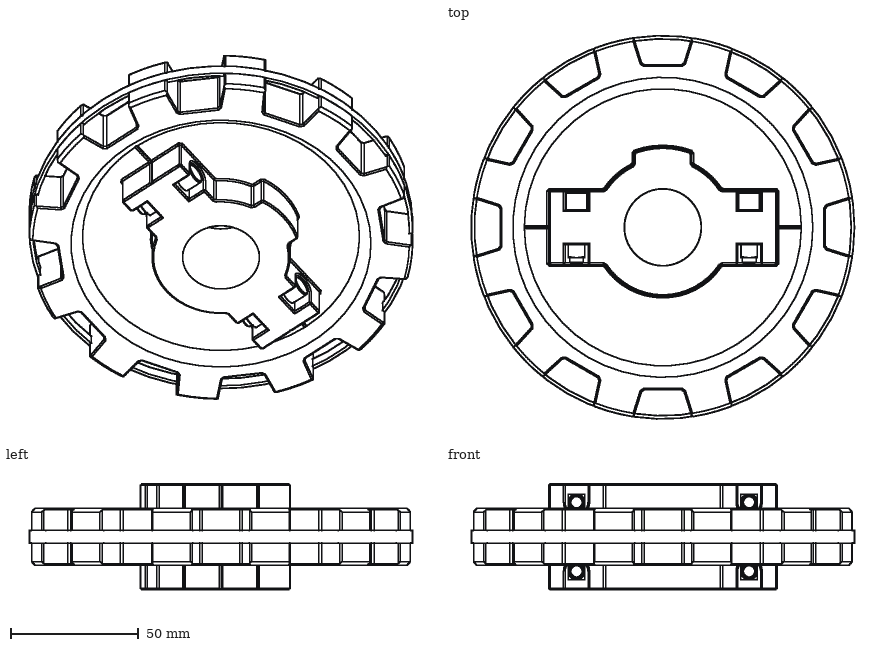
import cadquery as cq
import math

wheel_radius = 75.0
wheel_thickness = 22.3
hub_height = 41.4
bore_radius = 15.0
edge_chamfer = 0.6

tooth_count = 12
gap_floor_radius = 63.5
gap_floor_half_width = 8.1
gap_mouth_half_width = 11.7
gap_corner_chamfer = 0.7
tip_chamfer_radial = 1.3
tip_chamfer_height = 1.5
band_thickness = 1.3
band_height = 5.0

recess_mouth_radius = 58.6
recess_floor_radius = 54.1
web_thickness = 12.7

hub_radius = 27.0
ear_length = 44.7
ear_half_width = 14.5
block_half_width = 11.4
block_radius = 31.5

screw_x = 33.7
screw_z = 13.5
pocket_half_width = 4.5
pocket_floor_y = 6.9
head_radius = 4.0
head_end_y = 13.8
head_chamfer = 0.5
nut_width = 6.5
nut_length = 5.0
nut_chamfer = 0.5
shank_radius = 2.7
shank_end_y = 14.1
shank_chamfer = 0.5

half_wheel = wheel_thickness / 2
half_web = web_thickness / 2
half_hub = hub_height / 2
tolerance = 0.01
overcut = 1.5
screw_places = [(x, z) for x in (-screw_x, screw_x) for z in (-screw_z, screw_z)]


def disc(radius, height):
    """Cylinder on the Z axis, centred on Z = 0."""
    return cq.Workplane("XY").cylinder(height, radius)


def gap_prism():
    """Space between two teeth, on the +Y side, with its floor corners chamfered."""
    mouth_slope = (gap_mouth_half_width - gap_floor_half_width) / (wheel_radius - gap_floor_radius)
    outer_y = wheel_radius + overcut
    outer_half_width = gap_mouth_half_width + mouth_slope * overcut
    prism = (
        cq.Workplane("XY")
        .polyline([
            (-gap_floor_half_width, gap_floor_radius),
            (gap_floor_half_width, gap_floor_radius),
            (outer_half_width, outer_y),
            (-outer_half_width, outer_y),
        ])
        .close()
        .extrude(half_wheel + overcut, both=True)
    )
    return prism.edges("|Z and <Y").chamfer(gap_corner_chamfer)


def tip_envelope():
    """Disc with the chamfer of the tooth tips on both faces."""
    top_radius = wheel_radius - tip_chamfer_radial
    chamfer_z = half_wheel - tip_chamfer_height
    return (
        cq.Workplane("XZ")
        .polyline([
            (0, -half_wheel),
            (top_radius, -half_wheel),
            (wheel_radius, -chamfer_z),
            (wheel_radius, chamfer_z),
            (top_radius, half_wheel),
            (0, half_wheel),
        ])
        .close()
        .revolve(360, (0, 0, 0), (0, 1, 0))
    )


def toothed_wheel():
    """Toothed disc with all tooth edges chamfered."""
    wheel = disc(wheel_radius, wheel_thickness)
    gap = gap_prism()
    for index in range(tooth_count):
        wheel = wheel.cut(gap.rotate((0, 0, 0), (0, 0, 1), index * 360 / tooth_count))

    tip_reach = wheel_radius - tolerance
    tip_edges = [
        edge for edge in wheel.edges("|Z").vals()
        if math.hypot(edge.Center().x, edge.Center().y) > tip_reach
    ]
    wheel = wheel.newObject(tip_edges).chamfer(edge_chamfer)
    gap_edges = [
        edge for edge in wheel.faces("|Z").edges().vals()
        if edge.geomType() == "LINE"
    ]
    wheel = wheel.newObject(gap_edges).chamfer(edge_chamfer)
    return wheel.intersect(tip_envelope())


def recess():
    """Conical dish in the upper face of the wheel."""
    return (
        cq.Workplane("XZ")
        .polyline([
            (0, half_web),
            (recess_floor_radius, half_web),
            (recess_mouth_radius, half_wheel),
            (0, half_wheel),
        ])
        .close()
        .revolve(360, (0, 0, 0), (0, 1, 0))
    )


def hub():
    """Round hub with ears along X and a locating block on its +Y side."""
    ears = cq.Workplane("XY").box(2 * ear_length, 2 * ear_half_width, hub_height)
    block = (
        cq.Workplane("XY")
        .box(2 * block_half_width, block_radius, hub_height)
        .translate((0, block_radius / 2, 0))
        .intersect(disc(block_radius, hub_height))
    )
    body = disc(hub_radius, hub_height).union(ears).union(block)
    return body.edges("|Z").chamfer(edge_chamfer)


def screw_pocket(x, z, side):
    """Pocket with a round bottom, open to the hub end and to the ear side (side = +1 or -1 along Y)."""
    end_z = math.copysign(half_hub, z)
    bottom_z = z - math.copysign(pocket_half_width, z)
    return (
        cq.Workplane("XZ", origin=(x, side * pocket_floor_y, 0))
        .moveTo(-pocket_half_width, end_z)
        .lineTo(-pocket_half_width, z)
        .threePointArc((0, bottom_z), (pocket_half_width, z))
        .lineTo(pocket_half_width, end_z)
        .close()
        .extrude(-side * (ear_half_width - pocket_floor_y))
    )


def hub_with_pockets():
    """Hub with the screw pockets, its end edges and pocket mouths chamfered."""
    body = hub()
    for x, z in screw_places:
        for side in (-1, 1):
            body = body.cut(screw_pocket(x, z, side))
    end_edges = body.faces("<Z or >Z").edges().vals()
    mouth_edges = [
        edge for edge in body.edges().vals()
        if abs(abs(edge.Center().y) - ear_half_width) < tolerance
        and abs(abs(edge.Center().x) - screw_x) < pocket_half_width + tolerance
        and abs(edge.Center().z) < half_hub - tolerance
    ]
    return body.newObject(end_edges + mouth_edges).chamfer(edge_chamfer)


def joint_grooves():
    """V grooves that mark the plane Y = 0, across both webs and along the ear ends."""
    side = edge_chamfer * math.sqrt(2)
    web_run = recess_floor_radius - ear_length
    ear_run = half_hub - half_web
    across = cq.Workplane("XY").box(web_run, side, side).rotate((0, 0, 0), (1, 0, 0), 45)
    upright = cq.Workplane("XY").box(side, side, ear_run).rotate((0, 0, 0), (0, 0, 1), 45)
    grooves = []
    for x_direction in (-1, 1):
        for z_direction in (-1, 1):
            grooves.append(
                across.translate((x_direction * (ear_length + web_run / 2), 0, z_direction * half_web))
            )
            grooves.append(
                upright.translate((x_direction * ear_length, 0, z_direction * (half_web + ear_run / 2)))
            )
    return grooves


def screw_head(x, z):
    """Round head on the +Y side."""
    head = cq.Workplane("XZ", origin=(x, pocket_floor_y, z)).circle(head_radius)
    return head.extrude(pocket_floor_y - head_end_y).faces(">Y").chamfer(head_chamfer)


def screw_nut(x, z):
    """Square nut with rounded-off corners and the end of the shank, on the -Y side."""
    seat = cq.Workplane("XZ", origin=(x, -pocket_floor_y, z))
    nut = seat.rect(nut_width, nut_width).extrude(nut_length)
    corner_radius = nut_width / 2 * math.sqrt(2)
    turned = (
        seat.circle(corner_radius).extrude(nut_length)
        .faces("<Y").chamfer(nut_chamfer, corner_radius - nut_width / 2)
    )
    shank = (
        seat.circle(shank_radius).extrude(shank_end_y - pocket_floor_y)
        .faces("<Y").chamfer(shank_chamfer)
    )
    return nut.intersect(turned).union(shank)


def tip_band():
    """Thin ring around the middle of the wheel, flush with the tooth tips."""
    return disc(wheel_radius, band_height).cut(disc(wheel_radius - band_thickness, band_height))


def sprocket():
    """Toothed wheel, dished on both faces, with its hub, clamp screws and the seat of the band."""
    wheel = toothed_wheel()
    wheel = wheel.cut(recess()).cut(recess().mirror("XY"))
    wheel = wheel.union(hub_with_pockets())
    foot_reach = recess_floor_radius - overcut
    foot_edges = [
        edge for edge in wheel.edges().vals()
        if abs(abs(edge.Center().z) - half_web) < tolerance
        and edge.BoundingBox().zlen < tolerance
        and math.hypot(edge.Center().x, edge.Center().y) < foot_reach
        and edge.BoundingBox().xlen < 2 * ear_length
    ]
    wheel = wheel.newObject(foot_edges).chamfer(edge_chamfer)
    for groove in joint_grooves():
        wheel = wheel.cut(groove)
    for x, z in screw_places:
        wheel = wheel.union(screw_head(x, z)).union(screw_nut(x, z))
    return wheel.cut(disc(bore_radius, hub_height)).cut(tip_band())


wheel = sprocket()
band = tip_band()

result = cq.Compound.makeCompound([wheel.val(), band.val()])